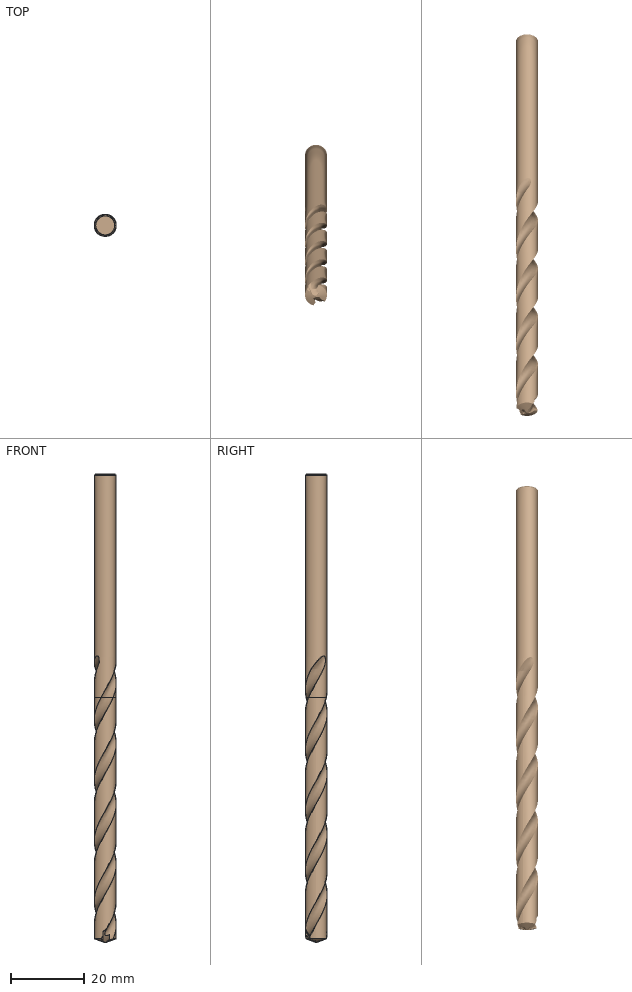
import cadquery as cq
import math

drill_diameter = 6.0
overall_length = 128.0
shank_length = 50.0
cutting_length = 67.0
point_angle = 140.0
shank_chamfer = 0.4

flute_count = 2
flute_lead = 33.0
flute_opening = 68.0
core_radius = 1.5
first_flute_angle = -89.0
helix_top = 74.7
runout_drift = 0.8
runout_lift = 0.15

chisel_half_width = 0.15
gash_start = 0.6
gash_wall = 1.2
gash_rise = 1.25
gash_tilt = 0.75

radius = drill_diameter / 2
point_height = radius / math.tan(math.radians(point_angle / 2))
shank_start = overall_length - shank_length

cutter_overhang = 1.0
runout_height = 8.0
cut_tolerance = 0.001


def flute_angle(height):
    """Direction of the first flute at a height, in degrees."""
    return first_flute_angle + 360 * height / flute_lead


def polar(distance, angle):
    """Point in the section plane at a distance from the axis and an angle in degrees."""
    return (distance * math.cos(math.radians(angle)), distance * math.sin(math.radians(angle)))


def flute_section(height, turn):
    """Round-bottomed cross section of the flute turned about the axis, at a height."""
    middle = flute_angle(height) + turn
    left = middle + flute_opening / 2
    right = middle - flute_opening / 2
    return (
        cq.Workplane("XY", origin=(0, 0, height))
        .moveTo(*polar(radius, right))
        .threePointArc(polar(core_radius, middle), polar(radius, left))
        .lineTo(*polar(radius + cutter_overhang, left))
        .threePointArc(
            polar(radius + cutter_overhang, middle),
            polar(radius + cutter_overhang, right),
        )
        .close()
    )


def helical_cutter(bottom, top, turn):
    """Groove that follows the flute helix between two heights."""
    height = top - bottom
    return flute_section(bottom, turn).twistExtrude(height, 360 * height / flute_lead)


def runout_cutter(turn):
    """Straight groove that carries the flute on sideways and outwards until it leaves the shank."""
    angle = flute_angle(helix_top) + turn
    drift = cq.Vector(*polar(runout_height * runout_drift, angle + 90))
    lift = cq.Vector(*polar(runout_height * runout_lift, angle))
    direction = drift + lift + cq.Vector(0, 0, runout_height)
    outline = flute_section(helix_top, turn).wires().val()
    return cq.Workplane(cq.Solid.extrudeLinear(outline, [], direction))


def gash_cutter(turn):
    """Wedge under a sloping floor, beside the chisel edge, between two upright end walls."""
    length = gash_start + gash_wall
    reach = radius + cutter_overhang
    start_height = -gash_tilt * gash_start
    bottom = start_height - gash_tilt * length - cutter_overhang
    outer_height = start_height + gash_rise * (reach - chisel_half_width)
    corners = [
        cq.Vector(-gash_start, -chisel_half_width, bottom),
        cq.Vector(-gash_start, -chisel_half_width, start_height),
        cq.Vector(-gash_start, -reach, outer_height),
        cq.Vector(-gash_start, -reach, bottom),
    ]
    outline = cq.Wire.makePolygon(corners, close=True)
    direction = cq.Vector(length, 0, gash_tilt * length)
    wedge = cq.Workplane(cq.Solid.extrudeLinear(outline, [], direction))
    return wedge.rotate((0, 0, 0), (0, 0, 1), turn)


def flute_turns():
    """Angular position of each flute relative to the first, in degrees."""
    return [360 * index / flute_count for index in range(flute_count)]


def make_cutting_body():
    """Fluted lower part with the conical point."""
    outline = [
        (0, 0),
        (radius, point_height),
        (radius, cutting_length),
        (0, cutting_length),
    ]
    body = cq.Workplane("XZ").polyline(outline).close().revolve(360, (0, 0), (0, 1))
    bottom = -cutter_overhang
    top = cutting_length + cutter_overhang
    cutters = [helical_cutter(bottom, top, turn).val() for turn in flute_turns()]
    body = cq.Workplane(body.val().cut(*cutters, tol=cut_tolerance))
    for turn in flute_turns():
        body = body.cut(gash_cutter(turn), clean=False)
    return body


def make_shank():
    """Plain chamfered shank with the neck where the flutes run out."""
    neck = cq.Workplane("XY", origin=(0, 0, cutting_length)).circle(radius)
    neck = neck.extrude(shank_start - cutting_length)
    grip = cq.Workplane("XY", origin=(0, 0, shank_start)).circle(radius).extrude(shank_length)
    grip = grip.faces(">Z").chamfer(shank_chamfer)
    body = neck.union(grip, clean=False)
    for turn in flute_turns():
        groove = helical_cutter(cutting_length - cutter_overhang, helix_top, turn)
        body = body.cut(groove, clean=False)
        body = body.cut(runout_cutter(turn), clean=False)
    return body


cutting_body = make_cutting_body()
shank = make_shank()

result = cq.Compound.makeCompound([cutting_body.val(), shank.val()])